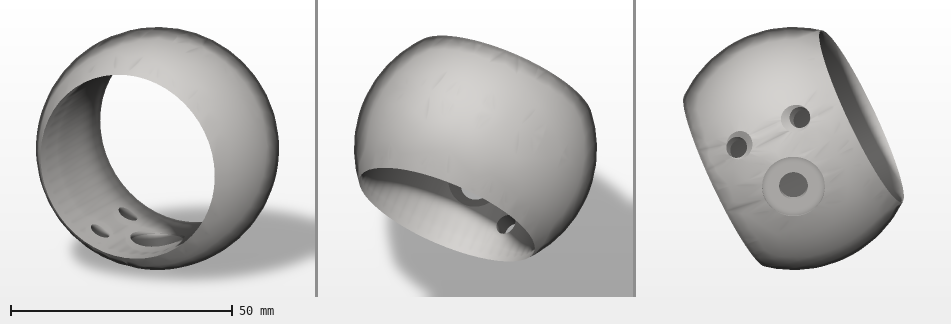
import cadquery as cq
import math

ball_radius = 27.5
bore_diameter = 42.9

seat_diameter = 14.2
seat_depth = 26.05

mount_hole_diameter = 6.5
mount_head_diameter = 12.3
mount_land = 1.5

side_hole_diameter = 4.8
side_hole_spacing = 16.0
side_hole_tilt = 30.0
side_sink_depth = 2.0

sink_half_angle = math.radians(45)


def drill(start_depth, end_depth, diameter):
    """Cylinder pointing down -Z between two depths below the origin."""
    length = end_depth - start_depth
    return cq.Workplane("XY").workplane(offset=-end_depth).circle(diameter / 2).extrude(length)


def cone(start_depth, start_diameter, end_depth, end_diameter):
    """Cone about the Z axis between two depths below the origin."""
    profile = [
        (0, -start_depth),
        (start_diameter / 2, -start_depth),
        (end_diameter / 2, -end_depth),
        (0, -end_depth),
    ]
    return cq.Workplane("XZ").polyline(profile).close().revolve(360, (0, 0, 0), (0, 1, 0))


def ring_body():
    """Bored ball, its sphere axis along X and seam inside the bore, with the seat cut underneath."""
    ball = cq.Workplane("YZ").sphere(ball_radius)
    bore = (
        cq.Workplane("XZ")
        .workplane(offset=-ball_radius)
        .circle(bore_diameter / 2)
        .extrude(2 * ball_radius)
    )
    seat = drill(seat_depth, ball_radius, seat_diameter)
    return ball.cut(bore).cut(seat)


def mount_hole():
    """Vertical hole with its screw head recess opening into the bore."""
    sink_end = seat_depth - mount_land
    sink_height = (mount_head_diameter - mount_hole_diameter) / 2 / math.tan(sink_half_angle)
    sink_start = sink_end - sink_height
    hole = drill(0, ball_radius, mount_hole_diameter)
    head = drill(0, sink_start, mount_head_diameter)
    sink = cone(sink_start, mount_head_diameter, sink_end, mount_hole_diameter)
    return hole.union(head).union(sink)


def side_hole(y):
    """Tilted hole whose countersink opens on the outside of the ball."""
    sink_start = ball_radius - side_sink_depth
    sink_diameter = side_hole_diameter + 2 * side_sink_depth * math.tan(sink_half_angle)
    hole = drill(0, ball_radius, side_hole_diameter)
    sink = cone(sink_start, side_hole_diameter, ball_radius, sink_diameter)
    tilted = hole.union(sink).rotate((0, 0, 0), (0, 1, 0), side_hole_tilt)
    return tilted.translate((0, y, 0))


result = ring_body().cut(mount_hole())
for side in (-1, 1):
    result = result.cut(side_hole(side * side_hole_spacing / 2))